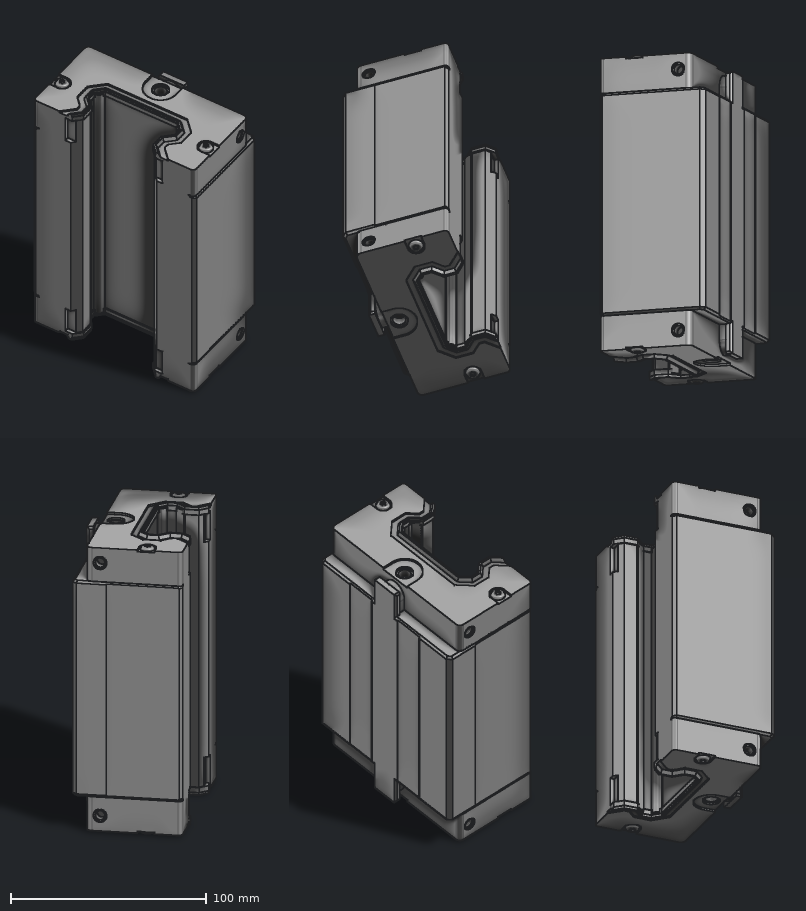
import cadquery as cq
import math

LENGTH = 155.0
HEIGHT = 57.4
WIDTH = 100.0
HALF_WIDTH = WIDTH / 2
TOP_Z = LENGTH / 2

BODY_END_Z = 58.0
BODY_TOP_BEVEL = 2.3
BODY_FOOT_BEVEL_X = 2.2
BODY_FOOT_BEVEL_Y = 1.7
BODY_END_BEVEL = 1.2
RELIEF_DEPTH = 0.3
RELIEF_TOP_Y = 39.4
TOP_GROOVE_DEPTH = 0.5
TOP_GROOVE_INNER_X = 9.9
TOP_GROOVE_OUTER_X = 26.7

CAP_END_Z = 76.3
CAP_HALF_WIDTH = 49.5
CAP_TOP_Y = 49.9
CAP_TOP_RADIUS = 2.8
CAP_FOOT_RADIUS = 2.2
RECESS_FLOOR_Z = 75.3

JAW_X = 21.2
WAIST_X = 26.2
CEILING_Y = 25.4
MOUTH_DIAGONAL = 25.4
SHOULDER_DIAGONAL = 9.5
CROWN_DIAGONAL = 47.6
MOUTH_OVERRUN = 9.3

CHANNEL_OFFSET = 0.8
LIP_RIM_OFFSET = 1.4
LIP_ROOT_OFFSET = 2.5
RECESS_OFFSET = 5.7
LIP_STEP_OFFSET = 0.3
LIP_STEP_Z = 76.1
SEAL_BACK_Z = 73.3

UPPER_RAIL_X = 22.8
UPPER_RAIL_Y = 21.9
UPPER_RAIL_RADIUS = 2.3
LOWER_RAIL_TOP_X = 24.8
LOWER_RAIL_TOP_Y = 16.6
LOWER_RAIL_FOOT_Y = 12.2

NOTCH_INNER_X = 24.6
NOTCH_OUTER_X = 29.8
NOTCH_DEPTH = 2.3

SCREW_X = 44.2
SCREW_Y = 18.9
SCREW_SLOT_WIDTH = 9.0
SCREW_HEAD_DIAMETER = 7.6
SCREW_HEAD_Z = 77.2
SCREW_HEAD_ROUND = 1.7
SOCKET_DIAMETER = 3.0
SOCKET_DEPTH = 1.1

END_PORT_Y = 43.4
SIDE_PORT_Y = 42.8
PORT_PAD_WIDTH = 18.6
PORT_PAD_DEPTH = 1.1
END_PORT_DIAMETER = 9.0
END_PORT_BORE_DIAMETER = 6.7
SIDE_PORT_Z = 68.0
SIDE_PORT_DIAMETER = 6.8
SIDE_PORT_BORE_DIAMETER = 5.0
PORT_STEP_DEPTH = 1.1
PORT_BORE_DEPTH = 6.2

POST_DIAMETER = 14.0
POST_Z = 65.9
PLATE_WIDTH = 16.5
PLATE_BASE_Y = 54.0
PLATE_END_Z = 73.6
PLATE_BEVEL_X = 0.8
PLATE_BEVEL_Z = 1.2
PLATE_BEVEL_Y = 1.4


def opening_outline(offset):
    """Right-hand points of the rail opening, moved outward by an offset."""
    shift = offset * math.sqrt(2)
    jaw = JAW_X + offset
    waist = WAIST_X + offset
    ceiling = CEILING_Y + offset
    mouth = MOUTH_DIAGONAL + shift
    shoulder = SHOULDER_DIAGONAL + shift
    crown = CROWN_DIAGONAL + shift
    return [
        (mouth + MOUTH_OVERRUN, -MOUTH_OVERRUN),
        (jaw, mouth - jaw),
        (jaw, jaw - shoulder),
        (waist, waist - shoulder),
        (waist, crown - waist),
        (crown - ceiling, ceiling),
    ]


def symmetric_sketch(plane, right_points):
    left_points = [(-x, y) for x, y in reversed(right_points)]
    return plane.polyline(right_points + left_points).close()


def opening_prism(offset, z_start, z_end):
    plane = cq.Workplane("XY").workplane(offset=z_start)
    return symmetric_sketch(plane, opening_outline(offset)).extrude(z_end - z_start)


def block(x_min, x_max, y_min, y_max, z_min, z_max):
    size = (x_max - x_min, y_max - y_min, z_max - z_min)
    return cq.Workplane("XY").box(*size, centered=False).translate((x_min, y_min, z_min))


def both_sides(solid):
    return solid.union(solid.mirror("YZ"))


def both_ends(solid):
    return solid.union(solid.mirror("XY"))


def steel_body():
    foot_x = HALF_WIDTH - BODY_FOOT_BEVEL_X
    shoulder_x = HALF_WIDTH - BODY_TOP_BEVEL
    shoulder_y = HEIGHT - BODY_TOP_BEVEL
    outline = [
        (-foot_x, 0),
        (foot_x, 0),
        (HALF_WIDTH, BODY_FOOT_BEVEL_Y),
        (HALF_WIDTH, shoulder_y),
        (shoulder_x, HEIGHT),
        (-shoulder_x, HEIGHT),
        (-HALF_WIDTH, shoulder_y),
        (-HALF_WIDTH, BODY_FOOT_BEVEL_Y),
    ]
    body = cq.Workplane("XY").polyline(outline).close().extrude(BODY_END_Z, both=True)
    body = body.faces("<Z or >Z").edges("not(<Y)").chamfer(BODY_END_BEVEL)
    groove = block(
        TOP_GROOVE_INNER_X, TOP_GROOVE_OUTER_X,
        HEIGHT - TOP_GROOVE_DEPTH, HEIGHT,
        -BODY_END_Z, BODY_END_Z,
    )
    relief = block(
        -HALF_WIDTH, -HALF_WIDTH + RELIEF_DEPTH,
        0, RELIEF_TOP_Y,
        -BODY_END_Z, BODY_END_Z,
    )
    return body.cut(both_sides(groove)).cut(relief)


def end_cap():
    cap = block(-CAP_HALF_WIDTH, CAP_HALF_WIDTH, 0, CAP_TOP_Y, BODY_END_Z, CAP_END_Z)
    cap = cap.edges("|Z and >Y").fillet(CAP_TOP_RADIUS)
    return cap.edges("|Z and <Y").fillet(CAP_FOOT_RADIUS)


def rail_channel():
    """Through channel with the retainer rails left standing in it."""
    channel = opening_prism(CHANNEL_OFFSET, -TOP_Z, TOP_Z)
    beyond_x = WAIST_X + 2 * CHANNEL_OFFSET
    beyond_y = CEILING_Y + 2 * CHANNEL_OFFSET
    upper_rail = block(UPPER_RAIL_X, beyond_x, UPPER_RAIL_Y, beyond_y, -TOP_Z, TOP_Z)
    upper_rail = upper_rail.edges("|Z and <X and <Y").fillet(UPPER_RAIL_RADIUS)
    lower_rail_outline = [
        (beyond_x, LOWER_RAIL_TOP_Y),
        (LOWER_RAIL_TOP_X, LOWER_RAIL_TOP_Y),
        (JAW_X + CHANNEL_OFFSET, LOWER_RAIL_FOOT_Y),
        (beyond_x, LOWER_RAIL_FOOT_Y),
    ]
    lower_rail = cq.Workplane("XY").polyline(lower_rail_outline).close().extrude(TOP_Z, both=True)
    return channel.cut(both_sides(upper_rail)).cut(both_sides(lower_rail))


def mouth_notches():
    notch = block(NOTCH_INNER_X, NOTCH_OUTER_X, 0, NOTCH_DEPTH, BODY_END_Z, SEAL_BACK_Z)
    return both_sides(notch)


def end_seal():
    """Wiper lip around the opening, leaning inward toward a stepped rim."""
    root = opening_prism(LIP_ROOT_OFFSET, SEAL_BACK_Z, RECESS_FLOOR_Z)
    lip = symmetric_sketch(
        cq.Workplane("XY").workplane(offset=RECESS_FLOOR_Z),
        opening_outline(LIP_ROOT_OFFSET),
    )
    lip = symmetric_sketch(lip.workplane(offset=TOP_Z - RECESS_FLOOR_Z), opening_outline(LIP_RIM_OFFSET))
    seal = root.union(lip.loft(ruled=True))
    seal = seal.cut(opening_prism(0, SEAL_BACK_Z, LIP_STEP_Z))
    seal = seal.cut(opening_prism(LIP_STEP_OFFSET, LIP_STEP_Z, TOP_Z))
    return seal.intersect(block(-HALF_WIDTH, HALF_WIDTH, 0, HEIGHT, SEAL_BACK_Z, TOP_Z))


def screw_slot():
    depth = CAP_END_Z - RECESS_FLOOR_Z
    radius = SCREW_SLOT_WIDTH / 2
    plane = cq.Workplane("XY").workplane(offset=RECESS_FLOOR_Z)
    rounded_end = plane.center(SCREW_X, SCREW_Y).circle(radius).extrude(depth)
    open_end = block(
        SCREW_X, CAP_HALF_WIDTH,
        SCREW_Y - radius, SCREW_Y + radius,
        RECESS_FLOOR_Z, CAP_END_Z,
    )
    return rounded_end.union(open_end)


def screw_head():
    plane = cq.Workplane("XY").workplane(offset=RECESS_FLOOR_Z)
    head = plane.circle(SCREW_HEAD_DIAMETER / 2).extrude(SCREW_HEAD_Z - RECESS_FLOOR_Z)
    head = head.faces(">Z").edges().fillet(SCREW_HEAD_ROUND)
    head = head.faces(">Z").workplane().polygon(6, SOCKET_DIAMETER).cutBlind(-SOCKET_DEPTH)
    return head.translate((SCREW_X, SCREW_Y, 0))


def stepped_port(plane, diameter, bore_diameter):
    """Counterbored blind hole cut along the normal of a plane facing into the cap."""
    step = plane.circle(diameter / 2).extrude(PORT_STEP_DEPTH)
    bore = plane.circle(bore_diameter / 2).extrude(PORT_BORE_DEPTH)
    return step.union(bore)


def end_port():
    floor_z = CAP_END_Z - PORT_PAD_DEPTH
    radius = PORT_PAD_WIDTH / 2
    plane = cq.Workplane("XY").workplane(offset=floor_z)
    pad = plane.center(0, END_PORT_Y).circle(radius).extrude(PORT_PAD_DEPTH)
    pad = pad.union(block(-radius, radius, END_PORT_Y, CAP_TOP_Y, floor_z, CAP_END_Z))
    inward = cq.Workplane(cq.Plane((0, END_PORT_Y, floor_z), (1, 0, 0), (0, 0, -1)))
    return pad.union(stepped_port(inward, END_PORT_DIAMETER, END_PORT_BORE_DIAMETER))


def side_ports():
    origin = (CAP_HALF_WIDTH, SIDE_PORT_Y, SIDE_PORT_Z)
    inward = cq.Workplane(cq.Plane(origin, (0, 1, 0), (-1, 0, 0)))
    return both_sides(stepped_port(inward, SIDE_PORT_DIAMETER, SIDE_PORT_BORE_DIAMETER))


def oil_connector():
    radius = POST_DIAMETER / 2
    post_base_y = CAP_TOP_Y - CAP_TOP_RADIUS
    post_height = PLATE_BASE_Y - post_base_y
    upright = cq.Plane((0, post_base_y, POST_Z), (1, 0, 0), (0, 1, 0))
    post = cq.Workplane(upright).circle(radius).extrude(post_height)
    post = post.union(block(-radius, radius, post_base_y, PLATE_BASE_Y, 0, POST_Z))

    edge_x = PLATE_WIDTH / 2
    bevelled_x = edge_x - PLATE_BEVEL_X
    face_outline = [
        (edge_x, 0),
        (edge_x, PLATE_END_Z - PLATE_BEVEL_Z),
        (bevelled_x, PLATE_END_Z),
    ]
    end_outline = [
        (edge_x, PLATE_BASE_Y),
        (edge_x, HEIGHT - PLATE_BEVEL_Y),
        (bevelled_x, HEIGHT),
    ]
    plate = symmetric_sketch(cq.Workplane("XY"), end_outline).extrude(PLATE_END_Z)
    plate = plate.intersect(symmetric_sketch(cq.Workplane("XZ"), face_outline).extrude(-HEIGHT))
    return post.union(plate)


recess = opening_prism(RECESS_OFFSET, RECESS_FLOOR_Z, TOP_Z)
cap_pockets = recess.union(both_sides(screw_slot())).union(end_port()).union(side_ports())
cap_pockets = cap_pockets.union(mouth_notches())

cap_fittings = end_seal().union(both_sides(screw_head()))

result = steel_body().union(both_ends(end_cap())).union(both_ends(oil_connector()))
result = result.cut(rail_channel())
result = result.cut(both_ends(cap_pockets))
result = result.union(both_ends(cap_fittings))